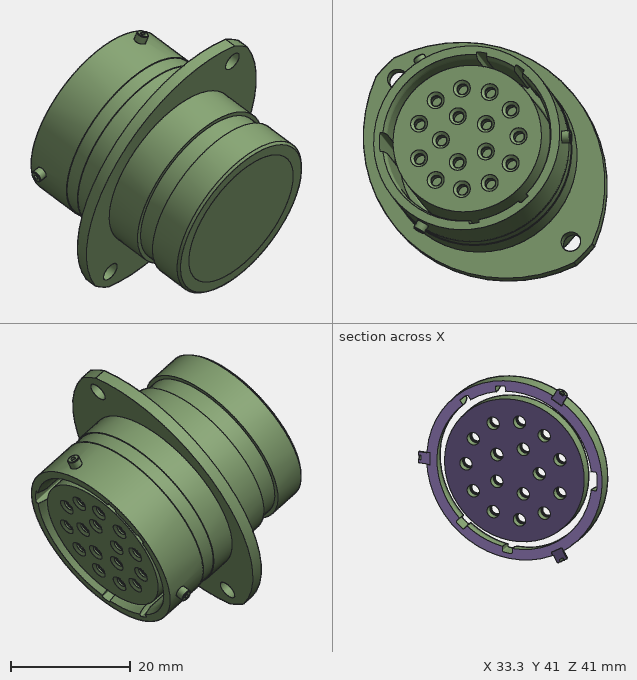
import cadquery as cq
import math


shell_length = 33.32
front_radius = 15.8
front_groove_radius = 15.65
front_groove_start = 8.15
front_groove_end = 10.7
rear_radius = 15.02
rear_groove_radius = 14.3
rear_groove_start = 23.8
rear_groove_end = 27.25
rear_chamfer = 0.4

flange_height = 41.05
flange_start = 15.2
flange_end = 17.28
flange_tip_radius = 23.9
flange_arc_offset = 5.0
flange_arc_radius = flange_height / 2 + flange_arc_offset
mount_hole_radius = 1.65
mount_hole_offset = 14.75

insert_radius = 12.6
insert_recess = 0.5
mouth_radius = 14.32
mouth_depth = 1.2
taper_end_radius = 13.95
bore_start = 1.65
bore_radius = 13.87
seal_radius = 14.8
seal_thickness = 2.05
seal_end = flange_start
seal_start = seal_end - seal_thickness
seal_fillet = 0.35

main_key_width = 3.25
minor_key_width = 1.72
keyways = [
    (180, main_key_width),
    (80, minor_key_width),
    (52, minor_key_width),
    (-48.5, minor_key_width),
    (-85, minor_key_width),
]
keyway_fillet = 0.2

cavity_mouth_radius = 1.45
cavity_neck_radius = 0.9
cavity_bore_radius = 1.05
cavity_cone_depth = 0.4
cavity_neck_depth = 0.82
cavity_depth = 2.45
outer_ring_radius = 8.7
outer_ring_pitch = 32
outer_ring_pairs = 5
inner_cavities = [(-3.15, 2.4), (-3.15, -2.4), (1.6, 3.95), (1.6, -3.95), (4.47, 0)]

pin_x = 2.5
pin_radius = 1.03
pin_tip = 17.25
pin_base = 15.2
pin_chamfer = 0.12
pin_dimple_radius = 0.35
pin_dimple_depth = 0.4
pin_angles = (0, 120, 240)


def polar(radius, angle):
    """(y, z) of a point at a clock angle."""
    turn = math.radians(angle)
    return (-radius * math.cos(turn), radius * math.sin(turn))


def turned(profile):
    """Solid of revolution about X from (x, radius) points."""
    return cq.Workplane("XZ").polyline(profile).close().revolve(360, (0, 0, 0), (1, 0, 0))


def upright_pin_blank():
    """Plain pin cylinder standing on the +Z side."""
    return cq.Workplane("XY", origin=(pin_x, 0, pin_base)).circle(pin_radius).extrude(pin_tip - pin_base)


def swing_from_top(body, angle):
    """Turn a body from the +Z side to a clock angle."""
    return body.rotate((0, 0, 0), (1, 0, 0), 90 - angle)


def make_flange():
    """Plate where two offset side discs and a centred tip disc overlap, long along the Y = Z diagonal."""
    thickness = flange_end - flange_start

    def disc(radius, y, z):
        return cq.Workplane("YZ", origin=(flange_start, y, z)).circle(radius).extrude(thickness)

    plate = disc(flange_tip_radius, 0, 0)
    for side in (1, -1):
        offset = side * flange_arc_offset
        plate = plate.intersect(disc(flange_arc_radius, offset, -offset))
    for side in (1, -1):
        offset = side * mount_hole_offset
        plate = plate.cut(disc(mount_hole_radius, offset, offset))
    return plate


def make_keyway(angle, width):
    """Cutter for one keyway, from the mating face back to the seal."""
    slab = cq.Workplane("XY").box(seal_start, seal_radius, width, centered=(False, False, True))
    round_bar = cq.Workplane("YZ").circle(seal_radius).extrude(seal_start)
    cutter = slab.intersect(round_bar).edges("|X").edges(">Y").fillet(keyway_fillet)
    return cutter.rotate((0, 0, 0), (1, 0, 0), 180 - angle)


def make_shell():
    """Stepped barrel with flange, tapered mouth, seal seat, keyways and pin sockets."""
    barrel = turned([
        (0, mouth_radius),
        (0, front_radius),
        (front_groove_start, front_radius),
        (front_groove_start, front_groove_radius),
        (front_groove_end, front_groove_radius),
        (front_groove_end, front_radius),
        (flange_end, front_radius),
        (flange_end, rear_radius),
        (rear_groove_start, rear_radius),
        (rear_groove_start, rear_groove_radius),
        (rear_groove_end, rear_groove_radius),
        (rear_groove_end, rear_radius),
        (shell_length - rear_chamfer, rear_radius),
        (shell_length, rear_radius - rear_chamfer),
        (shell_length, insert_radius),
        (seal_end, insert_radius),
        (seal_end, seal_radius),
        (seal_start, seal_radius),
        (seal_start, bore_radius),
        (bore_start, bore_radius),
        (mouth_depth, taper_end_radius),
    ])
    bore_plug = cq.Workplane("YZ").circle(insert_radius).extrude(shell_length)
    shell = barrel.union(make_flange().cut(bore_plug))
    for angle, width in keyways:
        shell = shell.cut(make_keyway(angle, width))
    for angle in pin_angles:
        shell = shell.cut(swing_from_top(upright_pin_blank(), angle))
    return shell


def make_seal():
    """Ring around the insert with its front edges rounded."""
    ring = turned([
        (seal_start, insert_radius),
        (seal_start, seal_radius),
        (seal_end, seal_radius),
        (seal_end, insert_radius),
    ])
    return ring.faces("<X").edges().fillet(seal_fillet)


def cavity_places():
    """(y, z) of every cavity: an outer ring symmetric about its first cavity, plus the inner group."""
    places = [polar(outer_ring_radius, 0)]
    for step in range(1, outer_ring_pairs + 1):
        places.append(polar(outer_ring_radius, step * outer_ring_pitch))
        places.append(polar(outer_ring_radius, -step * outer_ring_pitch))
    return places + inner_cavities


def make_insert():
    """Contact carrier; each cavity has a tapered mouth, a narrow neck and a flat-bottomed bore."""
    insert = turned([
        (insert_recess, 0),
        (insert_recess, insert_radius),
        (shell_length, insert_radius),
        (shell_length, 0),
    ])
    cavity = turned([
        (insert_recess, 0),
        (insert_recess, cavity_mouth_radius),
        (insert_recess + cavity_cone_depth, cavity_neck_radius),
        (insert_recess + cavity_neck_depth, cavity_neck_radius),
        (insert_recess + cavity_neck_depth, cavity_bore_radius),
        (insert_recess + cavity_depth, cavity_bore_radius),
        (insert_recess + cavity_depth, 0),
    ])
    for y, z in cavity_places():
        insert = insert.cut(cavity.translate((0, y, z)))
    return insert


def make_pin(angle):
    """Bayonet pin with a chamfered tip and a small blind hole in its end."""
    pin = upright_pin_blank().faces(">Z").chamfer(pin_chamfer)
    pin = pin.faces(">Z").workplane().hole(2 * pin_dimple_radius, pin_dimple_depth)
    return swing_from_top(pin, angle)


shell = make_shell()
seal = make_seal()
insert = make_insert()
pins = [make_pin(angle) for angle in pin_angles]

result = cq.Compound.makeCompound(
    [shell.val(), seal.val(), insert.val()] + [pin.val() for pin in pins]
)